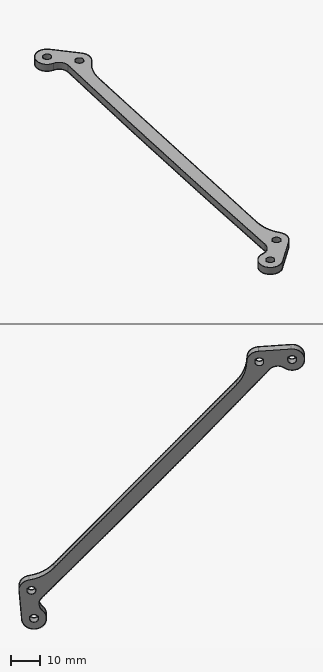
import cadquery as cq
import math

length = 144.0
thickness = 3.0

end_radius = 4.25
hole_diameter = 3.0
hole_offset = 7.9

beam_top = 7.9
beam_bottom = 3.3

bow_depth = 0.5

upper_blend_radius = 14.4
lower_blend_radius = 3.7

lower_x = length / 2 - end_radius
upper_x = lower_x - hole_offset
upper_y = hole_offset


def toward(start, target, distance):
    """Point at the given distance from start, on the line to target."""
    ratio = distance / math.dist(start, target)
    return tuple(a + (b - a) * ratio for a, b in zip(start, target))


def arc_middle(center, start, end):
    """Middle point of the shorter arc from start to end."""
    chord_middle = tuple((a + b) / 2 for a, b in zip(start, end))
    return toward(center, chord_middle, math.dist(center, start))


def blend_center(hole, edge_y, radius, side):
    """Center of an arc tangent to the round end and to a beam edge; side is +1 above, -1 below."""
    center_y = edge_y + side * radius
    reach = math.sqrt((end_radius + radius) ** 2 - (center_y - hole[1]) ** 2)
    return (hole[0] - reach, center_y)


def right_half():
    """Right half of the beam with its angled arm, rounded ends and tangent blends."""
    lower = (lower_x, 0)
    upper = (upper_x, upper_y)
    upper_blend = blend_center(upper, beam_top, upper_blend_radius, 1)
    lower_blend = blend_center(lower, beam_bottom, lower_blend_radius, -1)

    upper_start = (upper_blend[0], beam_top)
    upper_end = toward(upper, upper_blend, end_radius)
    upper_mid = arc_middle(upper_blend, upper_start, upper_end)
    lower_start = toward(lower, lower_blend, end_radius)
    lower_end = (lower_blend[0], beam_bottom)
    lower_mid = arc_middle(lower_blend, lower_start, lower_end)

    bow_bottom = (0, beam_bottom - bow_depth)
    bow_radius = (lower_end[0] ** 2 + bow_depth**2) / (2 * bow_depth)
    bow_center = (0, bow_bottom[1] + bow_radius)
    bow_mid = arc_middle(bow_center, lower_end, bow_bottom)

    diagonal = end_radius / math.sqrt(2)

    return (
        cq.Workplane("XY")
        .moveTo(*bow_bottom)
        .lineTo(0, beam_top)
        .lineTo(*upper_start)
        .threePointArc(upper_mid, upper_end)
        .threePointArc((upper_x, upper_y + end_radius), (upper_x + diagonal, upper_y + diagonal))
        .lineTo(lower_x + diagonal, diagonal)
        .threePointArc((lower_x + diagonal, -diagonal), lower_start)
        .threePointArc(lower_mid, lower_end)
        .threePointArc(bow_mid, bow_bottom)
        .close()
        .extrude(thickness)
    )


def holes():
    """The four screw holes, right through the plate."""
    centers = [(side * x, y) for side in (-1, 1) for x, y in ((lower_x, 0), (upper_x, upper_y))]
    return cq.Workplane("XY").pushPoints(centers).circle(hole_diameter / 2).extrude(thickness)


half = right_half()
result = half.union(half.mirror("YZ")).cut(holes())